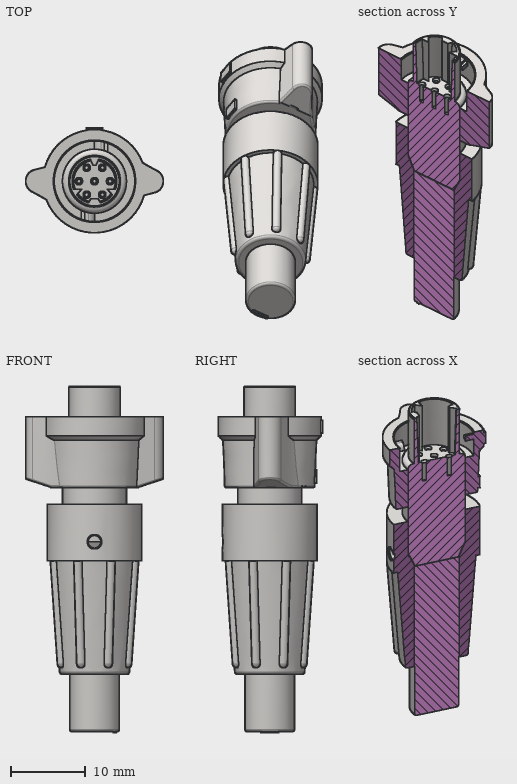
import cadquery as cq
import math

OVERALL_HEIGHT = 46.47
END_MARK_HEIGHT = 0.14
CABLE_BOTTOM_Z = END_MARK_HEIGHT
GRIP_BOTTOM_Z = 7.82
COLLAR_BOTTOM_Z = 23.05
COLLAR_TOP_Z = 30.64
RING_BOTTOM_Z = 32.85
RING_TOP_Z = 42.37
CROSS_HOLE_Z = 25.6

TUBE_RADIUS = 3.46
TUBE_BORE_RADIUS = 3.0
CONTACT_FACE_RADIUS = 2.8
TUBE_RIM_CHAMFER = 0.15
NECK_RADIUS = 4.3
SHOULDER_FILLET = 0.75
TAIL_LENGTH = 2.2
CONTACT_FACE_DEPTH = 7.0
KEY_ROOT_REACH = 3.2
TOP_KEY_TIP_Y = 2.15
TOP_KEY_TIP_HALF = 0.2
TOP_KEY_ROOT_HALF = 0.7
BOTTOM_KEY_TIP_Y = -2.37
BOTTOM_KEY_TIP_HALF = 0.5
BOTTOM_KEY_ROOT_HALF = 1.0
SIDE_KEY_TIP_X = 1.7
SIDE_KEY_TOP_Y = -1.05
SIDE_KEY_ROOT_Y = -2.8
SOCKET_RADIUS = 0.49
SOCKET_BORE_RADIUS = 0.28
SOCKET_MOUTH_DEPTH = 0.3
SOCKET_DEPTH = 3.0
SOCKET_CIRCLE_RADIUS = 2.09
OUTER_SOCKET_COUNT = 6

RING_BORE_RADIUS = 5.4
RING_BORE_DEPTH = 3.65
RING_BORE_CHAMFER = 0.12
BAND_RADIUS = 6.93
BAND_HEIGHT = 2.55
BAND_CHAMFER_HEIGHT = 0.62
SKIRT_TOP_RADIUS = 6.3
SKIRT_BOTTOM_RADIUS = 6.05
RING_BOTTOM_FILLET = 0.3

WING_REACH = 9.24
WING_TIP_RADIUS = 1.6
WING_SHALLOW_ANGLE = 14.5
WING_STEEP_ANGLE = 25.0
WING_STEEP_ROOT_ANGLE = 44.0
WING_FLANK_RADIUS = 15.0
WING_ROOT_X = 4.0
ROOT_CLEARANCE = 0.4
WING_TIP_BOTTOM_Z = RING_TOP_Z - 8.35
WING_BOTTOM_ANGLE = 18.4

CAM_LENGTH = 1.75
CAM_STEP_X = 1.3
CAM_STEP_DROP = 0.3
CAM_NOSE_RADIUS = 0.87
CAM_TOP_Z = RING_TOP_Z - 0.3

MARK_WIDTH = 2.2
UPPER_MARK_Y = 7.14
UPPER_MARK_TOP_Z = RING_TOP_Z - 0.45
UPPER_MARK_HEIGHT = 1.75
LOWER_MARK_Y = 6.3
LOWER_MARK_TOP_Z = RING_TOP_Z - 7.1
LOWER_MARK_HEIGHT = 1.8

COLLAR_RADIUS = 6.36
GRIP_TOP_RADIUS = 5.8
GRIP_BOTTOM_RADIUS = 4.68
GRIP_BOTTOM_FILLET = 0.42
RIB_COUNT = 8
RIB_RADIUS = 0.58
RIB_END_Z = 9.28
CROSS_HOLE_RADIUS = 0.85
CROSS_HOLE_RECESS_RADIUS = 0.97
CROSS_HOLE_RECESS_DEPTH = 0.25

CABLE_RADIUS = 3.33
CABLE_END_FILLET = 0.33
END_MARK_X = 2.7
END_MARK_THICKNESS = 0.4
END_MARK_LENGTH = 2.4

PLUG_TAIL_Z = CROSS_HOLE_Z - TAIL_LENGTH
CONTACT_FACE_Z = OVERALL_HEIGHT - CONTACT_FACE_DEPTH
RING_FLOOR_Z = RING_TOP_Z - RING_BORE_DEPTH
SHOULDER_Z = RING_FLOOR_Z + SHOULDER_FILLET


def cylinder(radius, bottom_z, top_z):
    return cq.Workplane("XY").workplane(offset=bottom_z).circle(radius).extrude(top_z - bottom_z)


def turned(profile):
    """Revolve a closed list of (radius, z) points about the Z axis."""
    return cq.Workplane("XZ").polyline(profile).close().revolve(360, (0, 0, 0), (0, 1, 0))


def block(x_range, y_range, z_range):
    """Box spanning the given (low, high) ranges."""
    size = [high - low for low, high in (x_range, y_range, z_range)]
    return cq.Workplane("XY").box(*size, centered=False).translate((x_range[0], y_range[0], z_range[0]))


def plug_blank():
    """Solid outside shape of the plug: tapered tail, neck with rounded shoulder, and tube."""
    neck = turned([
        (0, PLUG_TAIL_Z),
        (CABLE_RADIUS, PLUG_TAIL_Z),
        (NECK_RADIUS, CROSS_HOLE_Z),
        (NECK_RADIUS, SHOULDER_Z),
        (0, SHOULDER_Z),
    ]).faces(">Z").edges().fillet(SHOULDER_FILLET)
    tube = cylinder(TUBE_RADIUS, CROSS_HOLE_Z, OVERALL_HEIGHT).faces(">Z").chamfer(TUBE_RIM_CHAMFER)
    return neck.union(tube)


def wedge(tip_half_width, tip_y, root_half_width, root_y):
    """Outline of a key that is symmetric about the Y axis."""
    return [
        (-root_half_width, root_y),
        (-tip_half_width, tip_y),
        (tip_half_width, tip_y),
        (root_half_width, root_y),
    ]


def polarising_keys():
    """Four keys standing inward from the wall of the tube bore."""
    top_key = wedge(TOP_KEY_TIP_HALF, TOP_KEY_TIP_Y, TOP_KEY_ROOT_HALF, KEY_ROOT_REACH)
    bottom_key = wedge(BOTTOM_KEY_TIP_HALF, BOTTOM_KEY_TIP_Y, BOTTOM_KEY_ROOT_HALF, -KEY_ROOT_REACH)
    right_key = [
        (SIDE_KEY_TIP_X, SIDE_KEY_TOP_Y),
        (KEY_ROOT_REACH, SIDE_KEY_TOP_Y),
        (KEY_ROOT_REACH, SIDE_KEY_ROOT_Y),
    ]
    left_key = [(-x, y) for x, y in right_key]
    key_space = cylinder(TUBE_RADIUS - TUBE_RIM_CHAMFER, CONTACT_FACE_Z, OVERALL_HEIGHT)
    keys = cq.Workplane("XY")
    for outline in (top_key, bottom_key, right_key, left_key):
        bar = cq.Workplane("XY").workplane(offset=CONTACT_FACE_Z).polyline(outline).close()
        keys = keys.add(bar.extrude(CONTACT_FACE_DEPTH).intersect(key_space))
    return keys


def contact_socket(x, y):
    """Void of one contact: a wide mouth that tapers down to a narrow bore."""
    return turned([
        (0, CONTACT_FACE_Z),
        (SOCKET_RADIUS, CONTACT_FACE_Z),
        (SOCKET_BORE_RADIUS, CONTACT_FACE_Z - SOCKET_MOUTH_DEPTH),
        (SOCKET_BORE_RADIUS, CONTACT_FACE_Z - SOCKET_DEPTH),
        (0, CONTACT_FACE_Z - SOCKET_DEPTH),
    ]).translate((x, y, 0))


def make_plug():
    plug = plug_blank().cut(turned([
        (0, CONTACT_FACE_Z),
        (CONTACT_FACE_RADIUS, CONTACT_FACE_Z),
        (TUBE_BORE_RADIUS, OVERALL_HEIGHT),
        (0, OVERALL_HEIGHT),
    ]))
    for key in polarising_keys().vals():
        plug = plug.union(cq.Workplane(key))
    plug = plug.cut(contact_socket(0, 0))
    for index in range(OUTER_SOCKET_COUNT):
        angle = 2 * math.pi * index / OUTER_SOCKET_COUNT
        x = SOCKET_CIRCLE_RADIUS * math.cos(angle)
        y = SOCKET_CIRCLE_RADIUS * math.sin(angle)
        plug = plug.cut(contact_socket(x, y))
    return plug


def wing():
    """Wing on the -X side: round tip, one straight and one hollow flank, and a sloped underside."""
    tip_x = WING_TIP_RADIUS - WING_REACH
    shallow = math.radians(WING_SHALLOW_ANGLE)
    steep = math.radians(WING_STEEP_ANGLE)
    upper = (tip_x - WING_TIP_RADIUS * math.sin(shallow), WING_TIP_RADIUS * math.cos(shallow))
    lower = (tip_x - WING_TIP_RADIUS * math.sin(steep), -WING_TIP_RADIUS * math.cos(steep))
    upper_root = (-WING_ROOT_X, upper[1] + (-WING_ROOT_X - upper[0]) * math.tan(shallow))
    steep_root = math.radians(WING_STEEP_ROOT_ANGLE)
    lower_root = (
        lower[0] + WING_FLANK_RADIUS * (math.sin(steep_root) - math.sin(steep)),
        lower[1] + WING_FLANK_RADIUS * (math.cos(steep_root) - math.cos(steep)),
    )
    prism = (
        cq.Workplane("XY").workplane(offset=RING_BOTTOM_Z)
        .moveTo(*upper_root).lineTo(*upper)
        .threePointArc((-WING_REACH, 0), lower)
        .tangentArcPoint(lower_root, relative=False).close()
        .extrude(RING_TOP_Z - RING_BOTTOM_Z)
    )
    run = (WING_TIP_BOTTOM_Z - RING_BOTTOM_Z) / math.tan(math.radians(WING_BOTTOM_ANGLE))
    under = (
        cq.Workplane("XZ")
        .polyline([
            (-WING_REACH, WING_TIP_BOTTOM_Z),
            (run - WING_REACH, RING_BOTTOM_Z),
            (-WING_REACH, RING_BOTTOM_Z),
        ]).close()
        .extrude(WING_REACH, both=True)
    )
    wing_body = prism.cut(under)
    rim = cq.selectors.BoxSelector(
        (-2 * WING_REACH, -WING_REACH, 0),
        (-WING_ROOT_X - ROOT_CLEARANCE, WING_REACH, RING_FLOOR_Z))
    return wing_body.edges(rim).edges("not |Z").edges("not |Y").fillet(RING_BOTTOM_FILLET)


def cam():
    """Bayonet cam on the +Y side with a rounded nose and a low step behind it."""
    bottom_z = CAM_TOP_Z - CAM_NOSE_RADIUS
    nose_offset = CAM_NOSE_RADIUS * (1 - math.sqrt(0.5))
    step_z = CAM_TOP_Z - CAM_STEP_DROP
    bar = (
        cq.Workplane("XZ")
        .moveTo(0, bottom_z)
        .threePointArc((nose_offset, CAM_TOP_Z - nose_offset), (CAM_NOSE_RADIUS, CAM_TOP_Z))
        .lineTo(CAM_STEP_X, CAM_TOP_Z).lineTo(CAM_STEP_X, step_z)
        .lineTo(CAM_LENGTH, step_z).lineTo(CAM_LENGTH, bottom_z).close()
        .extrude(-BAND_RADIUS)
    )
    wall_radius = (RING_BORE_RADIUS + SKIRT_BOTTOM_RADIUS) / 2
    return bar.intersect(cylinder(wall_radius, bottom_z, CAM_TOP_Z)).cut(
        cylinder(NECK_RADIUS, bottom_z, CAM_TOP_Z))


def back_mark(outer_y, top_z, height):
    half = MARK_WIDTH / 2
    return block((-half, half), (RING_BORE_RADIUS, outer_y), (top_z - height, top_z))


def make_coupling_ring():
    band_bottom_z = RING_TOP_Z - BAND_HEIGHT
    ring = turned([
        (0, RING_BOTTOM_Z),
        (SKIRT_BOTTOM_RADIUS, RING_BOTTOM_Z),
        (SKIRT_TOP_RADIUS, band_bottom_z - BAND_CHAMFER_HEIGHT),
        (BAND_RADIUS, band_bottom_z),
        (BAND_RADIUS, RING_TOP_Z),
        (0, RING_TOP_Z),
    ]).faces("<Z").edges().fillet(RING_BOTTOM_FILLET)
    ring = ring.union(wing()).union(wing().rotate((0, 0, 0), (0, 0, 1), 180))
    ring = ring.union(back_mark(UPPER_MARK_Y, UPPER_MARK_TOP_Z, UPPER_MARK_HEIGHT))
    ring = ring.union(back_mark(LOWER_MARK_Y, LOWER_MARK_TOP_Z, LOWER_MARK_HEIGHT))
    ring = ring.cut(turned([
        (0, RING_FLOOR_Z),
        (RING_BORE_RADIUS, RING_FLOOR_Z),
        (RING_BORE_RADIUS, RING_TOP_Z - RING_BORE_CHAMFER),
        (RING_BORE_RADIUS + RING_BORE_CHAMFER, RING_TOP_Z),
        (0, RING_TOP_Z),
    ]))
    ring = ring.cut(cylinder(NECK_RADIUS, RING_BOTTOM_Z, RING_FLOOR_Z))
    return ring.union(cam()).union(cam().rotate((0, 0, 0), (0, 0, 1), 180))


def make_cable():
    cable = cylinder(CABLE_RADIUS, CABLE_BOTTOM_Z, PLUG_TAIL_Z).faces("<Z").edges().fillet(CABLE_END_FILLET)
    mark = block(
        (END_MARK_X - END_MARK_THICKNESS / 2, END_MARK_X + END_MARK_THICKNESS / 2),
        (-END_MARK_LENGTH / 2, END_MARK_LENGTH / 2),
        (0, CABLE_BOTTOM_Z + CABLE_END_FILLET))
    return cable.union(mark)


def grip_rib():
    """Round rib lying along the grip taper, with a ball-shaped lower end."""
    taper = (GRIP_TOP_RADIUS - GRIP_BOTTOM_RADIUS) / (COLLAR_BOTTOM_Z - GRIP_BOTTOM_Z)
    end = cq.Vector(GRIP_BOTTOM_RADIUS + taper * (RIB_END_Z - GRIP_BOTTOM_Z), 0, RIB_END_Z)
    direction = cq.Vector(taper, 0, 1)
    length = (COLLAR_BOTTOM_Z - RIB_END_Z) * direction.Length
    rib = cq.Workplane(cq.Plane(end, (0, 1, 0), direction)).circle(RIB_RADIUS).extrude(length)
    ball = cq.Workplane("XY").sphere(RIB_RADIUS).translate(end)
    return rib.union(ball)


def make_backshell():
    grip = turned([
        (0, GRIP_BOTTOM_Z),
        (GRIP_BOTTOM_RADIUS, GRIP_BOTTOM_Z),
        (GRIP_TOP_RADIUS, COLLAR_BOTTOM_Z),
        (0, COLLAR_BOTTOM_Z),
    ]).faces("<Z").edges().fillet(GRIP_BOTTOM_FILLET)
    shell = grip.union(cylinder(COLLAR_RADIUS, COLLAR_BOTTOM_Z, COLLAR_TOP_Z))
    pitch = 360 / RIB_COUNT
    for index in range(RIB_COUNT):
        shell = shell.union(grip_rib().rotate((0, 0, 0), (0, 0, 1), (index + 0.5) * pitch))
    hole = (
        cq.Workplane("XZ", origin=(0, -CABLE_RADIUS, CROSS_HOLE_Z))
        .circle(CROSS_HOLE_RADIUS).extrude(COLLAR_RADIUS)
    )
    recess = (
        cq.Workplane("XZ", origin=(0, CROSS_HOLE_RECESS_DEPTH - COLLAR_RADIUS, CROSS_HOLE_Z))
        .circle(CROSS_HOLE_RECESS_RADIUS).extrude(COLLAR_RADIUS)
    )
    shell = shell.cut(hole).cut(recess)
    return shell.cut(plug_blank()).cut(cylinder(CABLE_RADIUS, GRIP_BOTTOM_Z, PLUG_TAIL_Z))


plug = make_plug()
coupling_ring = make_coupling_ring()
backshell = make_backshell()
cable = make_cable()

result = cq.Compound.makeCompound([plug.val(), coupling_ring.val(), backshell.val(), cable.val()])